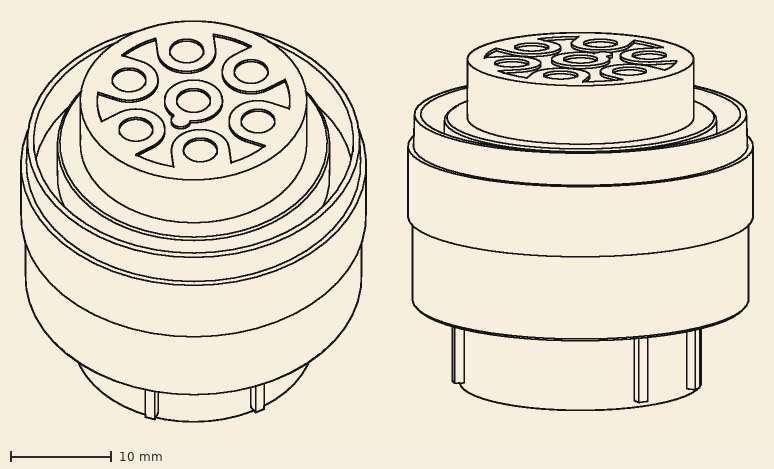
import cadquery as cq
import math

total_height = 33.0
key_bottom = 0.72
shell_bottom = 8.2
band_bottom = 16.95
band_top = 24.1
rim_top = 27.37
gap_floor = 22.3
collar_top = 27.03

plug_radius = 12.0
shell_radius = 16.7
band_radius = 17.15
rim_base_radius = 16.6
rim_top_radius = 16.5
rim_inner_radius = 15.88
collar_radius = 13.5
core_radius = 11.25

shell_chamfer = 0.25
collar_chamfer = 0.25

contact_count = 6
first_contact_angle = 90
contact_angles = [first_contact_angle + i * 360 / contact_count for i in range(contact_count)]
contact_circle_radius = 7.03
contact_radius = 1.68
contact_depth = 0.27
island_radius = 2.88
recess_radius = 9.57
recess_depth = 0.27
bump_radius = 0.95
bump_distance = 3.05
bump_angle = -60

key_angles = (90, 195, 230, 305, 355)
key_width = 1.0
key_reach = 12.95


def polar(radius, angle):
    """Point at a radius and an angle in degrees."""
    return radius * math.cos(math.radians(angle)), radius * math.sin(math.radians(angle))


def make_body():
    """Revolve the stepped outline, including the gap inside the rim."""
    outline = [
        (0, 0),
        (plug_radius, 0),
        (plug_radius, shell_bottom),
        (shell_radius - shell_chamfer, shell_bottom),
        (shell_radius, shell_bottom + shell_chamfer),
        (shell_radius, band_bottom),
        (band_radius, band_bottom),
        (band_radius, band_top),
        (rim_base_radius, band_top),
        (rim_top_radius, rim_top),
        (rim_inner_radius, rim_top),
        (rim_inner_radius, gap_floor),
        (collar_radius, gap_floor),
        (collar_radius, collar_top - collar_chamfer),
        (collar_radius - collar_chamfer, collar_top),
        (core_radius, collar_top),
        (core_radius, total_height),
        (0, total_height),
    ]
    return cq.Workplane("XZ").polyline(outline).close().revolve(360, (0, 0), (0, 1))


def make_keys():
    """Radial bars along the plug, running up to the underside of the shell."""
    key_height = shell_bottom - key_bottom
    start = cq.Workplane("XY").workplane(offset=key_bottom)
    bar = start.box(key_reach, key_width, key_height, centered=(False, True, False))
    keys = cq.Workplane("XY")
    for angle in key_angles:
        keys = keys.add(bar.rotate((0, 0, 0), (0, 0, 1), angle))
    return keys.combine()


def make_recess():
    """Star-shaped recess that leaves an island around every contact."""
    floor = cq.Workplane("XY").workplane(offset=total_height - recess_depth)
    recess = floor.circle(recess_radius).extrude(recess_depth)
    centre_island = floor.circle(island_radius).extrude(recess_depth)
    bump = floor.center(*polar(bump_distance, bump_angle)).circle(bump_radius).extrude(recess_depth)
    recess = recess.cut(centre_island).cut(bump)
    round_end = floor.center(contact_circle_radius, 0).circle(island_radius).extrude(recess_depth)
    straight_end = (
        floor.center(contact_circle_radius + recess_radius / 2, 0)
        .rect(recess_radius, 2 * island_radius)
        .extrude(recess_depth)
    )
    island = round_end.union(straight_end)
    for angle in contact_angles:
        recess = recess.cut(island.rotate((0, 0, 0), (0, 0, 1), angle))
    return recess


def make_contact_holes():
    """Shallow round contact holes: one in the centre and a ring around it."""
    points = [(0, 0)] + [polar(contact_circle_radius, angle) for angle in contact_angles]
    floor = cq.Workplane("XY").workplane(offset=total_height - contact_depth)
    return floor.pushPoints(points).circle(contact_radius).extrude(contact_depth)


result = make_body().union(make_keys()).cut(make_recess()).cut(make_contact_holes())